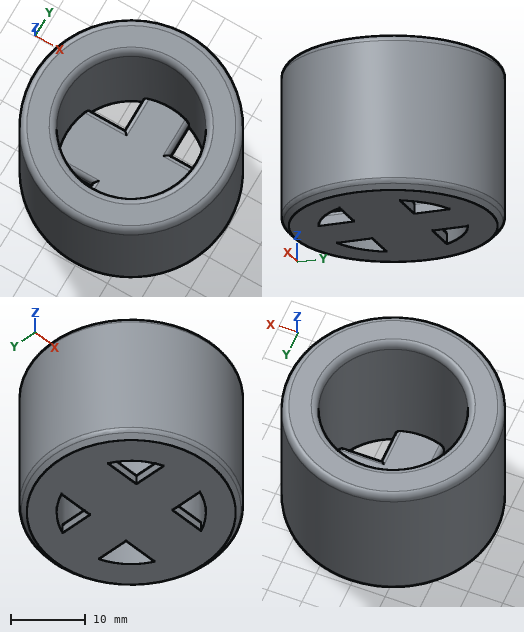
import cadquery as cq

outer_diameter = 30.0
bore_diameter = outer_diameter * 2 / 3
height = 22.0
edge_radius = outer_diameter / 30
foot_chamfer = edge_radius

bar_width_along_y = 7.0
bar_width_along_x = 8.6
cross_thickness = 2.0
cross_edge_radius = 0.7
wall_overlap = 0.6


def make_sleeve():
    """Round body with a rounded rim and a chamfered, softened foot."""
    body = cq.Workplane("XY").circle(outer_diameter / 2).extrude(height)
    body = body.faces("<Z").edges().chamfer(foot_chamfer)
    chamfer_top = cq.selectors.NearestToPointSelector((0, 0, foot_chamfer))
    body = body.edges("%CIRCLE").edges(chamfer_top).fillet(edge_radius)
    body = body.cut(cq.Workplane("XY").circle(bore_diameter / 2).extrude(height))
    return body.faces(">Z").edges().fillet(edge_radius)


def make_cross():
    """Two crossing bars with rounded upper edges, trimmed to a disc."""
    bar_length = outer_diameter
    bar_x = cq.Workplane("XY").rect(bar_length, bar_width_along_x).extrude(cross_thickness)
    bar_y = cq.Workplane("XY").rect(bar_width_along_y, bar_length).extrude(cross_thickness)
    cross = bar_x.union(bar_y).clean()
    cross = cross.faces(">Z").edges().fillet(cross_edge_radius)
    disc = cq.Workplane("XY").circle(bore_diameter / 2 + wall_overlap).extrude(cross_thickness)
    return cross.intersect(disc)


result = make_sleeve().union(make_cross())